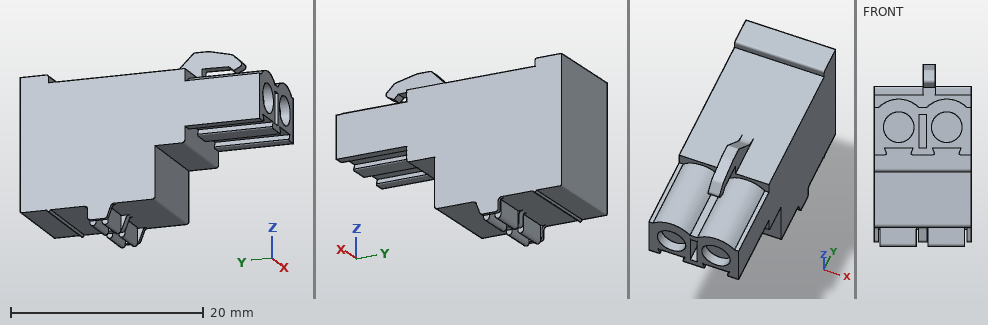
import cadquery as cq
import math

width = 10.1
length = 26.6
pole_pitch = 5.0
pole_centers = (-pole_pitch / 2, pole_pitch / 2)

front_y = 8.3
lower_front_y = 11.6
head_y = 23.45
head_top_z = 16.7
deck_z = 15.83
overhang_z = 7.8
base_z = 2.02
edge_radius = 0.32
head_radius = 0.27
back_radius = 0.13

pole_z = 12.45
nose_bottom_z = 9.58
nose_flat_z = 14.5
barrel_radius = 2.93
socket_diameter = 3.2
socket_depth = 1.06
keyway_depth = 0.72
keyway_root_z = nose_bottom_z + keyway_depth
keyway_mouth_width = 2.55
keyway_root_width = 3.0
keyway_lip_radius = 0.15
slot_width = 0.77
slot_bottom_z = keyway_root_z
slot_top_z = 13.78

latch_width = 1.28
latch_x = 0.66
latch_top_z = 19.0
latch_under_z = 17.15

foot_z = 0.48
foot_back_y = 19.13
foot_front_y = 17.02
foot_flare_y = 16.45
foot_root_radius = 0.4
foot_edge_radius = 0.32
side_rib_width = 0.45
middle_rib_width = 0.9
contact_width = 3.8
contact_thickness = 0.66
contact_offset_x = -0.05
contact_centers_y = (17.37, 18.73)
ridge_y = 23.43
ridge_height = 0.25

overlap = 0.32


def side_prism(points, prism_width, center_x=0.0):
    """Extrude a closed (Y, Z) outline along X, centred on center_x."""
    start = cq.Workplane("YZ", origin=(center_x - prism_width / 2, 0, 0))
    return start.polyline(points).close().extrude(prism_width)


def round_edge(solid, y, z, radius):
    """Fillet the edge of a prism that runs along X through (y, z)."""
    reach = 0.013
    box = cq.selectors.BoxSelector((-width, y - reach, z - reach), (width, y + reach, z + reach))
    return solid.edges("|X").edges(box).fillet(radius)


def make_housing():
    """Stepped main block with a raised head at the back."""
    outline = [
        (front_y, deck_z), (head_y, deck_z), (head_y, head_top_z), (length, head_top_z),
        (length, base_z), (lower_front_y, base_z), (lower_front_y, overhang_z), (front_y, overhang_z),
    ]
    housing = side_prism(outline, width)
    housing = round_edge(housing, head_y, head_top_z, head_radius)
    housing = round_edge(housing, length, base_z, back_radius)
    housing = round_edge(housing, lower_front_y, base_z, edge_radius)
    return round_edge(housing, front_y, overhang_z, edge_radius)


def make_keyway(center_x):
    """Dovetail groove along the underside of the nose, with rounded lips at its mouth."""
    mouth = keyway_mouth_width / 2
    root = keyway_root_width / 2
    lip = keyway_lip_radius
    return (
        cq.Workplane("XZ", origin=(center_x, 0, 0))
        .moveTo(-mouth - lip, nose_bottom_z)
        .radiusArc((-mouth, nose_bottom_z + lip), -lip)
        .lineTo(-root, keyway_root_z)
        .lineTo(root, keyway_root_z)
        .lineTo(mouth, nose_bottom_z + lip)
        .radiusArc((mouth + lip, nose_bottom_z), -lip)
        .close()
        .extrude(-front_y)
    )


def make_nose():
    """Block with two barrel-shaped crests, blind sockets, a slot between them and keyways below."""
    half_width = width / 2
    barrel_half_chord = math.sqrt(barrel_radius**2 - (nose_flat_z - pole_z) ** 2)
    front = cq.Workplane("XZ")
    outline = front.moveTo(-half_width, nose_bottom_z).lineTo(-half_width, nose_flat_z)
    for x in pole_centers:
        outline = (
            outline.lineTo(x - barrel_half_chord, nose_flat_z)
            .threePointArc((x, pole_z + barrel_radius), (x + barrel_half_chord, nose_flat_z))
        )
    outline = outline.lineTo(half_width, nose_flat_z).lineTo(half_width, nose_bottom_z).close()
    nose = outline.extrude(-front_y)
    pole_points = [(x, pole_z) for x in pole_centers]
    nose = nose.cut(front.pushPoints(pole_points).circle(socket_diameter / 2).extrude(-socket_depth))
    slot_center_z = (slot_bottom_z + slot_top_z) / 2
    slot = front.center(0, slot_center_z).rect(slot_width, slot_top_z - slot_bottom_z).extrude(-front_y)
    nose = nose.cut(slot)
    for x in pole_centers:
        nose = nose.cut(make_keyway(x))
    return nose


def make_latch():
    """Sloping arm that rises from the deck and ends in a hook above the nose."""
    ramp_foot = (12.42, deck_z)
    ramp_top = (9.18, latch_top_z)
    crest_end = (7.55, latch_top_z)
    hook_shoulder = (4.9, 18.38)
    hook_tip = (3.65, 17.18)
    hook_point = (4.81, 16.6)
    hook_root = (5.32, 17.1)
    arm_root = (front_y, latch_under_z)
    ramp_start_y = 13.3
    buried_z = deck_z - overlap
    outline = [
        (front_y, buried_z), (ramp_start_y, buried_z), (ramp_start_y, deck_z), ramp_foot, ramp_top, crest_end,
        hook_shoulder, hook_tip, hook_point, hook_root, arm_root,
    ]
    roundings = [
        (ramp_foot, 1.92), (ramp_top, 0.35), (crest_end, 2.55), (hook_shoulder, 0.8),
        (hook_tip, 0.32), (arm_root, 0.15),
    ]
    latch = side_prism(outline, latch_width, latch_x)
    for (y, z), radius in roundings:
        latch = round_edge(latch, y, z, radius)
    return latch


def make_foot_rib(rib_width, center_x):
    """Tapered rib under the base, flared where it meets the housing."""
    buried_z = base_z + overlap
    shelf_back_y = foot_back_y + 2 * foot_root_radius
    shelf_front_y = foot_flare_y - 2 * foot_root_radius
    outline = [
        (shelf_back_y, buried_z), (shelf_back_y, base_z), (foot_back_y, base_z),
        (foot_back_y, foot_z), (foot_front_y, foot_z), (foot_flare_y, base_z),
        (shelf_front_y, base_z), (shelf_front_y, buried_z),
    ]
    rib = side_prism(outline, rib_width, center_x)
    rib = round_edge(rib, foot_back_y, base_z, foot_root_radius)
    rib = round_edge(rib, foot_flare_y, base_z, foot_root_radius)
    rib = round_edge(rib, foot_front_y, foot_z, foot_edge_radius)
    return round_edge(rib, foot_back_y, foot_z, foot_edge_radius)


def make_contact(center_x, center_y):
    """Round-ended contact blade reaching down from the base."""
    radius = contact_thickness / 2
    start = cq.Workplane("YZ", origin=(center_x - contact_width / 2, center_y, 0))
    return (
        start.moveTo(-radius, base_z + overlap)
        .lineTo(-radius, radius)
        .threePointArc((0, 0), (radius, radius))
        .lineTo(radius, base_z + overlap)
        .close()
        .extrude(contact_width)
    )


def make_ridge():
    """Small triangular ridge across the base."""
    outline = [
        (ridge_y - ridge_height, base_z), (ridge_y, base_z - ridge_height), (ridge_y + ridge_height, base_z),
    ]
    return side_prism(outline, width)


result = make_housing().union(make_nose()).union(make_latch()).union(make_ridge())

side_rib_x = (width - side_rib_width) / 2
for rib_width, rib_x in (
    (side_rib_width, -side_rib_x),
    (middle_rib_width, 0),
    (side_rib_width, side_rib_x),
):
    result = result.union(make_foot_rib(rib_width, rib_x))

for pole_x in pole_centers:
    for contact_y in contact_centers_y:
        result = result.union(make_contact(pole_x + contact_offset_x, contact_y))